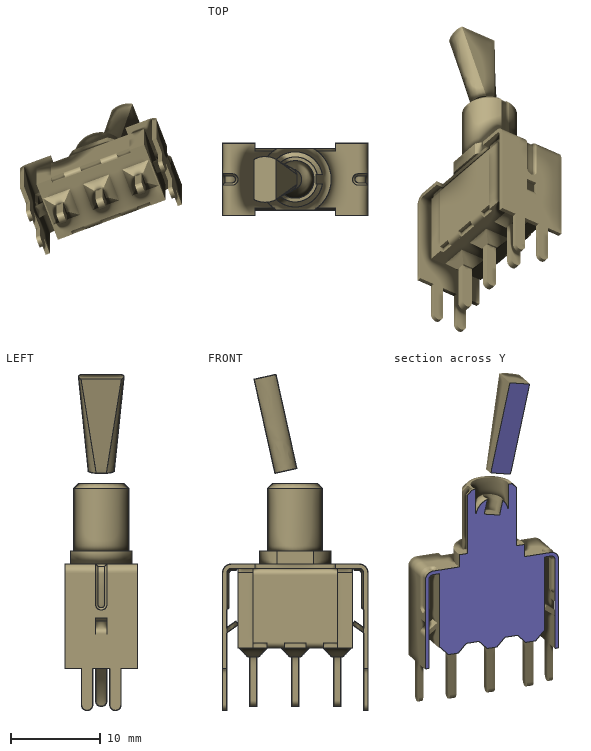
import cadquery as cq
import math

BRACKET_TOP = 16.38
SHOULDER_Z = 4.7
TERMINAL_TIP_Z = 0.45
CASE_BOTTOM = 7.0
LID_SEAM_Z = 15.4
FLANGE_HEIGHT = 1.45
BUSHING_TOP = 25.4
BALL_CENTER_Z = 22.05
TOTAL_HEIGHT = 37.57

BRACKET_LENGTH = 16.25
BRACKET_WIDTH = 8.1
SHEET = 0.5
BEND_RADIUS = 1.0
NOTCH_LENGTH = 8.95
NOTCHED_WIDTH = 6.4
PIN_WIDTH = 1.28
LEG_SPACING = 3.15

GROOVE_WIDTH = 1.28
GROOVE_FLOOR_WIDTH = 0.75
GROOVE_DEPTH = 0.25
GROOVE_BOTTOM = 11.25
GROOVE_REACH = 1.73

WINDOW_BOTTOM = 8.55
WINDOW_TOP = 10.35
TONGUE_BEND = 0.7
TONGUE_RISE = 35.0
TONGUE_TIP_Z = 10.0

CASE_LENGTH = 12.85
CASE_WIDTH = 6.75
LID_INSET = 0.08
LID_CORNER = 0.38
FRAME_LENGTH = 9.4
FRAME_WIDTH = 6.9
FRAME_TOP_BEND = 0.75
FRAME_TAB_BEND = 0.55
FRAME_TAB_LENGTH = 1.95
FRAME_TAB_SPACING = 4.35

TERMINAL_PITCH = 4.7
TERMINAL_THICKNESS = 0.8
MOUND_HEIGHT = 1.0
MOUND_BASE = 3.15
MOUND_TIP = 1.2

FLANGE_RADIUS = 4.02
FLANGE_WIDTH = FRAME_WIDTH
BUSHING_RADIUS = 3.08
BUSHING_CHAMFER = 0.55
BORE_DIAMETER = 4.2
KEYWAY_WIDTH = 1.05
KEYWAY_FLOOR = 2.33
SOCKET_RADIUS = 1.13

LEVER_TILT = 12.5
LEVER_THICKNESS = 2.5
LEVER_LENGTH = 10.8
LEVER_TOP_FLAT = 4.5
LEVER_TOP_BULGE = 0.3
LEVER_FOOT_FLAT = 1.13
LEVER_FOOT_BULGE = 0.9

SHEET_UNDERSIDE = BRACKET_TOP - SHEET
FLANGE_TOP = BRACKET_TOP + FLANGE_HEIGHT
HALF_LENGTH = BRACKET_LENGTH / 2


def block(length, width, bottom, top):
    return cq.Workplane("XY").workplane(offset=bottom).rect(length, width).extrude(top - bottom)


def rounded_pin(thickness, tip_z, top_z):
    """Flat blade centred on the Z axis with a fully rounded lower end."""
    radius = PIN_WIDTH / 2
    return (
        cq.Workplane("YZ")
        .moveTo(-radius, top_z)
        .lineTo(-radius, tip_z + radius)
        .threePointArc((0, tip_z), (radius, tip_z + radius))
        .lineTo(radius, top_z)
        .close()
        .extrude(thickness / 2, both=True)
    )


def bent_sheet(inset, width):
    """Solid arch whose surface lies `inset` inside the outer face of the bracket."""
    arch = block(BRACKET_LENGTH - 2 * inset, width, SHOULDER_Z, BRACKET_TOP - inset)
    return arch.edges("|Y and >Z").fillet(BEND_RADIUS - inset)


def groove_shape(inset):
    """Pressed groove of the -X bend, with sloping flanks and round ends, starting at depth `inset`."""
    outer_x = -HALF_LENGTH + inset
    outer_z = BRACKET_TOP - inset
    radius = BEND_RADIUS - inset
    half_width = GROOVE_WIDTH / 2
    half_floor = GROOVE_FLOOR_WIDTH / 2
    lower_z = GROOVE_BOTTOM + half_width
    upper_x = -HALF_LENGTH + GROOVE_REACH - half_width
    bend_mid = (
        outer_x + radius * (1 - math.sqrt(0.5)),
        outer_z - radius * (1 - math.sqrt(0.5)),
    )
    path = (
        cq.Workplane("XZ")
        .moveTo(outer_x, lower_z)
        .lineTo(outer_x, BRACKET_TOP - BEND_RADIUS)
        .threePointArc(bend_mid, (-HALF_LENGTH + BEND_RADIUS, outer_z))
        .lineTo(upper_x, outer_z)
    )
    channel = (
        cq.Workplane("XY")
        .workplane(offset=lower_z)
        .polyline([
            (outer_x, -half_width),
            (outer_x + GROOVE_DEPTH, -half_floor),
            (outer_x + GROOVE_DEPTH, half_floor),
            (outer_x, half_width),
        ])
        .close()
        .sweep(path)
    )
    lower_end = cq.Solid.makeCone(
        half_width, half_floor, GROOVE_DEPTH, cq.Vector(outer_x, 0, lower_z), cq.Vector(1, 0, 0)
    )
    upper_end = cq.Solid.makeCone(
        half_width, half_floor, GROOVE_DEPTH, cq.Vector(upper_x, 0, outer_z), cq.Vector(0, 0, -1)
    )
    return channel.union(cq.Workplane(lower_end)).union(cq.Workplane(upper_end))


def make_tongue():
    """Latch tongue on the -X side plate, bent inward and upward to the case."""
    rise = math.radians(TONGUE_RISE)
    center_x = -HALF_LENGTH + TONGUE_BEND
    inner_bend = TONGUE_BEND - SHEET

    def bend_point(radius, turn):
        return (center_x - radius * math.cos(turn), WINDOW_BOTTOM + radius * math.sin(turn))

    turn = math.pi / 2 - rise
    outer_end = bend_point(TONGUE_BEND, turn)
    tip = (outer_end[0] + (TONGUE_TIP_Z - outer_end[1]) / math.tan(rise), TONGUE_TIP_Z)
    under_tip = (tip[0] + SHEET * math.sin(rise), tip[1] - SHEET * math.cos(rise))
    return (
        cq.Workplane("XZ")
        .moveTo(*bend_point(TONGUE_BEND, 0))
        .threePointArc(bend_point(TONGUE_BEND, turn / 2), outer_end)
        .lineTo(*tip)
        .lineTo(*under_tip)
        .lineTo(*bend_point(inner_bend, turn))
        .threePointArc(bend_point(inner_bend, turn / 2), bend_point(inner_bend, 0))
        .close()
        .extrude(PIN_WIDTH / 2, both=True)
    )


def make_bracket():
    bracket = bent_sheet(0, BRACKET_WIDTH).cut(bent_sheet(SHEET, BRACKET_WIDTH))
    notches = block(NOTCH_LENGTH, BRACKET_WIDTH, SHEET_UNDERSIDE, BRACKET_TOP)
    notches = notches.cut(block(NOTCH_LENGTH, NOTCHED_WIDTH, SHEET_UNDERSIDE, BRACKET_TOP))
    bracket = bracket.cut(notches)
    ridge = groove_shape(SHEET)
    groove = groove_shape(0)
    bracket = bracket.union(ridge).union(ridge.mirror("YZ"))
    bracket = bracket.cut(groove).cut(groove.mirror("YZ"))
    bracket = bracket.cut(block(BRACKET_LENGTH, PIN_WIDTH, WINDOW_BOTTOM, WINDOW_TOP))
    tongue = make_tongue()
    bracket = bracket.union(tongue).union(tongue.mirror("YZ"))
    leg = rounded_pin(SHEET, 0, SHOULDER_Z)
    for x in (-1, 1):
        for y in (-1, 1):
            leg_x = x * (HALF_LENGTH - SHEET / 2)
            bracket = bracket.union(leg.translate((leg_x, y * LEG_SPACING / 2, 0)))
    return bracket


def make_case():
    case = block(CASE_LENGTH, CASE_WIDTH, CASE_BOTTOM, LID_SEAM_Z)
    lid = block(CASE_LENGTH, CASE_WIDTH - 2 * LID_INSET, LID_SEAM_Z, SHEET_UNDERSIDE)
    lid = lid.edges("|Z").fillet(LID_CORNER)
    return case.union(lid)


def add_frame(case):
    """Fold the sheet frame over the case, with the case set back behind the sheet."""
    lower_edge = CASE_BOTTOM + FRAME_TAB_BEND
    set_back_width = FRAME_WIDTH - 2 * SHEET
    recess = block(FRAME_LENGTH, FRAME_WIDTH, CASE_BOTTOM, SHEET_UNDERSIDE)
    recess = recess.cut(block(FRAME_LENGTH, set_back_width, CASE_BOTTOM, SHEET_UNDERSIDE))
    frame = block(FRAME_LENGTH, FRAME_WIDTH, lower_edge, SHEET_UNDERSIDE)
    frame = frame.edges("|X and >Z").fillet(FRAME_TOP_BEND)
    tab = block(FRAME_TAB_LENGTH, FRAME_WIDTH, CASE_BOTTOM, LID_SEAM_Z - FRAME_TOP_BEND)
    tab = tab.edges("|X and <Z").fillet(FRAME_TAB_BEND)
    framed = case.cut(recess).union(frame)
    for side in (-1, 1):
        framed = framed.union(tab.translate((side * FRAME_TAB_SPACING / 2, 0, 0)))
    return framed


def make_terminal():
    blade = rounded_pin(TERMINAL_THICKNESS, TERMINAL_TIP_Z, CASE_BOTTOM)
    mound = (
        cq.Workplane("XY")
        .workplane(offset=CASE_BOTTOM)
        .rect(MOUND_BASE, MOUND_BASE)
        .workplane(offset=-MOUND_HEIGHT)
        .rect(MOUND_TIP, PIN_WIDTH)
        .loft(ruled=True)
    )
    return blade.union(mound)


def make_bushing():
    flange = cq.Workplane("XY").workplane(offset=SHEET_UNDERSIDE).circle(FLANGE_RADIUS)
    flange = flange.extrude(FLANGE_TOP - SHEET_UNDERSIDE)
    flange = flange.intersect(block(BRACKET_LENGTH, FLANGE_WIDTH, BRACKET_TOP, FLANGE_TOP))
    barrel = cq.Workplane("XY").workplane(offset=FLANGE_TOP).circle(BUSHING_RADIUS)
    barrel = barrel.extrude(BUSHING_TOP - FLANGE_TOP).faces(">Z").chamfer(BUSHING_CHAMFER)
    bore = cq.Workplane("XY").workplane(offset=BALL_CENTER_Z).circle(BORE_DIAMETER / 2)
    bore = bore.extrude(BUSHING_TOP - BALL_CENTER_Z)
    keyway = block(BUSHING_RADIUS, KEYWAY_WIDTH, FLANGE_TOP, BUSHING_TOP)
    keyway = keyway.translate((KEYWAY_FLOOR + BUSHING_RADIUS / 2, 0, 0))
    ball = cq.Workplane("XY").sphere(BORE_DIAMETER / 2).translate((0, 0, BALL_CENTER_Z))
    socket = along_lever(cq.Workplane("XY").circle(SOCKET_RADIUS).extrude(BORE_DIAMETER))
    return flange.union(barrel).cut(bore).cut(keyway).union(ball).cut(socket)


def along_lever(shape):
    """Tilt a shape built on the Z axis and put its origin at the ball centre."""
    return shape.rotate((0, 0, 0), (0, 1, 0), -LEVER_TILT).translate((0, 0, BALL_CENTER_Z))


def make_housing():
    housing = make_bracket().union(add_frame(make_case())).union(make_bushing())
    terminal = make_terminal()
    for step in (-1, 0, 1):
        housing = housing.union(terminal.translate((step * TERMINAL_PITCH, 0, 0)))
    return housing


def lever_section(sketch, flat, bulge):
    """Cross-section with two parallel flats joined by two bulging arcs."""
    x = LEVER_THICKNESS / 2
    y = flat / 2
    return (
        sketch.moveTo(-x, -y)
        .threePointArc((0, -y - bulge), (x, -y))
        .lineTo(x, y)
        .threePointArc((0, y + bulge), (-x, y))
        .close()
    )


def make_lever():
    tilt = math.radians(LEVER_TILT)
    edge_rise = LEVER_THICKNESS / 2 * math.sin(tilt)
    top = (TOTAL_HEIGHT - BALL_CENTER_Z - edge_rise) / math.cos(tilt)
    foot = cq.Workplane("XY").workplane(offset=top - LEVER_LENGTH)
    foot = lever_section(foot, LEVER_FOOT_FLAT, LEVER_FOOT_BULGE)
    end = lever_section(foot.workplane(offset=LEVER_LENGTH), LEVER_TOP_FLAT, LEVER_TOP_BULGE)
    return along_lever(end.loft(ruled=True))


housing = make_housing()
lever = make_lever()
result = cq.Compound.makeCompound([housing.solids().val(), lever.val()])